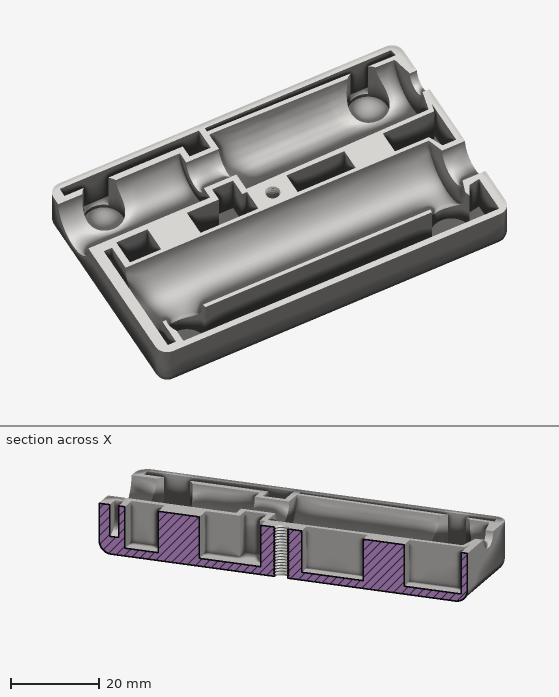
import cadquery as cq
import math


LENGTH_X = 55.0
LENGTH_Y = 90.0
HEIGHT = 12.0
EDGE_RADIUS = 3.0

SIDE_WALL = 1.5
BACK_WALL = 1.6
CORNER_POCKET_INSET = 2.4
POCKET_FLOOR = 2.0
MAGNET_FLOOR = 1.0

MIDDLE_Y = 44.5

BATTERY_X = 37.5
BATTERY_RADIUS = 8.85
BATTERY_WALL = 0.9
BATTERY_FRONT_Y = 4.8
BATTERY_SHOULDER_Y = 82.8
BATTERY_NECK_Y = 84.1
BATTERY_NECK_RADIUS = 4.9
BATTERY_FRONT_WALL = 1.6

BATTERY_WALL_SHOULDER_Y = 83.3
BATTERY_WALL_NECK_Y = 84.9
BATTERY_NECK_LEFT_X = 31.3
BATTERY_NECK_RIGHT_X = 44.3
BATTERY_NECK_RIGHT_TOP_X = 43.8

PLATE_WIDTH = 30.8
PLATE_THICKNESS = 2.1
PLATE_BOTTOM = POCKET_FLOOR
PLATE_ARC_RADIUS = 34.0
PLATE_CORNER_RADIUS = 3.4

STEPPED_X = 12.5
FRONT_RADIUS = 7.25
FRONT_END_Y = 31.3
NECK_RADIUS = 4.2
NECK_END_Y = 39.7
TAPER_RADIUS = 8.9
TAPER_START_Y = 41.6
TAPER_END_RADIUS = 8.15
TAPER_END_Y = 87.0
SHOULDER_END_Y = 88.15
OUTLET_RADIUS = 3.05
STEPPED_WALL = 1.05
FRONT_WALL = 1.45
NECK_WALL = 1.2
STEP_WALL = 1.5
SHOULDER_WALL_Y = TAPER_END_Y + 0.9
SHOULDER_WALL_TOP_X = 19.5

MAGNET_DIAMETER = 9.75
MAGNET_SPACING_X = 40.0
MAGNET_SPACING_Y = 68.0

SCREW_X = 25.15
SCREW_MINOR_DIAMETER = 3.0
SCREW_MAJOR_DIAMETER = 3.5
SCREW_PITCH = 0.7

RIB_WIDTH = 10.1
RIB_PITCH = 25.0

STRIP_LEFT_X = 22.3
BACK_POCKET_LEFT_X = 21.9


def outer_body():
    block = cq.Workplane("XY").box(LENGTH_X, LENGTH_Y, HEIGHT, centered=False)
    return block.edges("|Z or <Z").fillet(EDGE_RADIUS)


def channel(axis_x, stations):
    """Round channel along Y, centred on the rim plane, from (y, radius) stations."""
    outline = [(0, stations[0][0])] + [(r, y) for y, r in stations] + [(0, stations[-1][0])]
    profile = cq.Workplane("XY").polyline(outline).close()
    return profile.revolve(360, (0, 0, 0), (0, 1, 0)).translate((axis_x, 0, HEIGHT))


def battery_channel():
    return channel(BATTERY_X, [
        (BATTERY_FRONT_Y, BATTERY_RADIUS),
        (BATTERY_SHOULDER_Y, BATTERY_RADIUS),
        (BATTERY_NECK_Y, BATTERY_NECK_RADIUS),
        (LENGTH_Y, BATTERY_NECK_RADIUS),
    ])


def stepped_channel():
    return channel(STEPPED_X, [
        (0, FRONT_RADIUS),
        (FRONT_END_Y, FRONT_RADIUS),
        (FRONT_END_Y, NECK_RADIUS),
        (NECK_END_Y, NECK_RADIUS),
        (NECK_END_Y, TAPER_RADIUS),
        (TAPER_START_Y, TAPER_RADIUS),
        (TAPER_END_Y, TAPER_END_RADIUS),
        (SHOULDER_END_Y, OUTLET_RADIUS),
        (LENGTH_Y, OUTLET_RADIUS),
    ])


def plate_slot():
    """Slot with a wide bottom arc that runs tangentially into two corner arcs."""
    half = PLATE_WIDTH / 2
    corner_x = half - PLATE_CORNER_RADIUS
    centre_distance = PLATE_ARC_RADIUS - PLATE_CORNER_RADIUS
    lean = math.asin(corner_x / centre_distance)
    arc_centre_z = PLATE_BOTTOM + PLATE_ARC_RADIUS
    corner_z = arc_centre_z - centre_distance * math.cos(lean)
    tangent_x = PLATE_ARC_RADIUS * math.sin(lean)
    tangent_z = arc_centre_z - PLATE_ARC_RADIUS * math.cos(lean)
    mid_angle = (lean + math.pi / 2) / 2
    mid_x = corner_x + PLATE_CORNER_RADIUS * math.sin(mid_angle)
    mid_z = corner_z - PLATE_CORNER_RADIUS * math.cos(mid_angle)
    profile = (
        cq.Workplane("XZ")
        .moveTo(-half, HEIGHT)
        .lineTo(-half, corner_z)
        .threePointArc((-mid_x, mid_z), (-tangent_x, tangent_z))
        .threePointArc((0, PLATE_BOTTOM), (tangent_x, tangent_z))
        .threePointArc((mid_x, mid_z), (half, corner_z))
        .lineTo(half, HEIGHT)
        .close()
    )
    return profile.extrude(PLATE_THICKNESS).translate((BATTERY_X, BATTERY_FRONT_Y, 0))


def pocket(points):
    outline = cq.Workplane("XY").workplane(offset=POCKET_FLOOR).polyline(points).close()
    return outline.extrude(HEIGHT - POCKET_FLOOR)


def pockets():
    left = SIDE_WALL
    right = LENGTH_X - SIDE_WALL
    front = CORNER_POCKET_INSET
    back = LENGTH_Y - CORNER_POCKET_INSET

    battery_left = BATTERY_X - BATTERY_RADIUS - BATTERY_WALL
    battery_right = BATTERY_X + BATTERY_RADIUS + BATTERY_WALL
    battery_front = BATTERY_FRONT_Y + BATTERY_FRONT_WALL
    taper_outer = TAPER_RADIUS + STEPPED_WALL
    taper_end_outer = TAPER_END_RADIUS + STEPPED_WALL
    front_outer = FRONT_RADIUS + FRONT_WALL
    neck_outer = NECK_RADIUS + NECK_WALL
    neck_front = FRONT_END_Y + STEP_WALL
    neck_back = NECK_END_Y - STEP_WALL

    rib_edges = []
    for step in (-1, 0, 1):
        centre = MIDDLE_Y + step * RIB_PITCH
        rib_edges.append((centre - RIB_WIDTH / 2, centre + RIB_WIDTH / 2))
    front_rib, middle_rib, back_rib = rib_edges

    front_left = STEPPED_X + front_outer

    return [
        pocket([
            (left, NECK_END_Y),
            (STEPPED_X - taper_outer, NECK_END_Y),
            (STEPPED_X - taper_end_outer, SHOULDER_WALL_Y),
            (left, back),
        ]),
        pocket([
            (left, front),
            (STEPPED_X - front_outer, front),
            (STEPPED_X - front_outer, neck_front),
            (STEPPED_X - neck_outer, neck_front),
            (STEPPED_X - neck_outer, neck_back),
            (left, neck_back),
        ]),
        pocket([
            (front_left, battery_front),
            (battery_left, battery_front),
            (battery_left, front_rib[0]),
            (front_left, front_rib[0]),
        ]),
        pocket([
            (front_left, front_rib[1]),
            (battery_left, front_rib[1]),
            (battery_left, middle_rib[0]),
            (STRIP_LEFT_X, middle_rib[0]),
            (STRIP_LEFT_X, neck_back),
            (STEPPED_X + neck_outer, neck_back),
            (STEPPED_X + neck_outer, neck_front),
            (front_left, neck_front),
        ]),
        pocket([
            (STRIP_LEFT_X, middle_rib[1]),
            (battery_left, middle_rib[1]),
            (battery_left, back_rib[0]),
            (STRIP_LEFT_X, back_rib[0]),
        ]),
        pocket([
            (BACK_POCKET_LEFT_X, back_rib[1]),
            (battery_left, back_rib[1]),
            (battery_left, BATTERY_WALL_SHOULDER_Y),
            (BATTERY_NECK_LEFT_X, BATTERY_WALL_NECK_Y),
            (BATTERY_NECK_LEFT_X, LENGTH_Y - BACK_WALL),
            (SHOULDER_WALL_TOP_X, LENGTH_Y - BACK_WALL),
            (STEPPED_X + taper_end_outer, SHOULDER_WALL_Y),
        ]),
        pocket([
            (battery_right, battery_front),
            (right, battery_front),
            (right, back),
            (BATTERY_NECK_RIGHT_TOP_X, back),
            (BATTERY_NECK_RIGHT_X, BATTERY_WALL_NECK_Y),
            (battery_right, BATTERY_WALL_SHOULDER_Y),
        ]),
    ]


def magnet_seats():
    seats = cq.Workplane("XY").workplane(offset=MAGNET_FLOOR).center(LENGTH_X / 2, MIDDLE_Y)
    seats = seats.rarray(MAGNET_SPACING_X, MAGNET_SPACING_Y, 2, 2).circle(MAGNET_DIAMETER / 2)
    return seats.extrude(HEIGHT - MAGNET_FLOOR)


def screw_hole():
    """Through hole whose thread is simplified to a stack of V-shaped rings."""
    minor = SCREW_MINOR_DIAMETER / 2
    major = SCREW_MAJOR_DIAMETER / 2
    ring_count = math.floor(HEIGHT / SCREW_PITCH)
    outline = [(0, HEIGHT)]
    for ring in range(ring_count):
        groove_z = HEIGHT - ring * SCREW_PITCH
        outline.append((major, groove_z))
        outline.append((minor, groove_z - SCREW_PITCH / 2))
    outline += [(minor, 0), (0, 0)]
    profile = cq.Workplane("XY").polyline(outline).close()
    hole = profile.revolve(360, (0, 0, 0), (0, 1, 0)).rotate((0, 0, 0), (1, 0, 0), 90)
    return hole.translate((SCREW_X, MIDDLE_Y, 0))


body = outer_body()
cutters = [battery_channel(), stepped_channel(), plate_slot(), magnet_seats(), screw_hole()]
for cutter in cutters + pockets():
    body = body.cut(cutter)

result = body.translate((-LENGTH_X / 2, -LENGTH_Y / 2, 0))